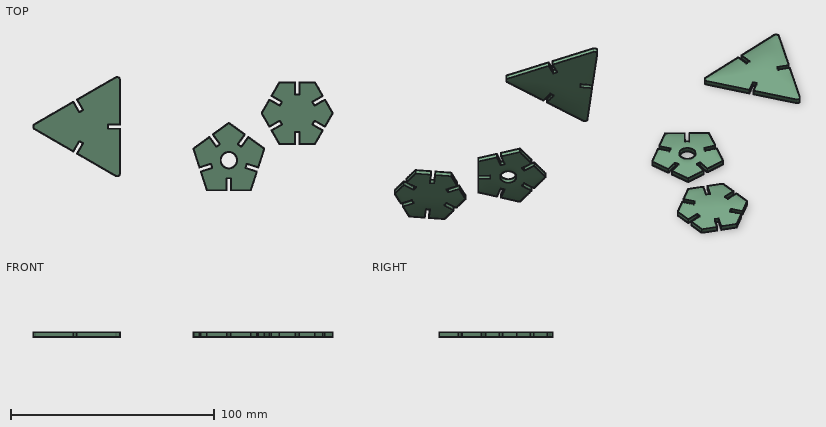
import cadquery as cq
import math


plate_thickness = 2.5
slot_width = 2.0
slot_depth = 5.9

triangle_sides = 3
triangle_inradius = 14.7
triangle_corner_radius = 1.5
triangle_first_side_angle = 0
triangle_center = (0, 0, 0)

pentagon_sides = 5
pentagon_inradius = 14.9
pentagon_hole_diameter = 8.0
pentagon_first_side_angle = -90
pentagon_center = (68.2, -16.5, 0)

hexagon_sides = 6
hexagon_inradius = 15.2
hexagon_first_side_angle = 90
hexagon_center = (101.8, 6.6, 0)


def polygon_plate(sides, inradius, first_side_angle):
    """Plain regular plate about the origin; the first side faces first_side_angle (degrees)."""
    side_step = 360 / sides
    circumradius = inradius / math.cos(math.pi / sides)
    corner_angles = [math.radians(first_side_angle + (i + 0.5) * side_step) for i in range(sides)]
    corners = [(circumradius * math.cos(a), circumradius * math.sin(a)) for a in corner_angles]
    return cq.Workplane("XY").polyline(corners).close().extrude(plate_thickness)


def cut_side_slots(plate, sides, inradius, first_side_angle):
    """Cut an open slot inward from the middle of every side, through the full thickness."""
    slot = cq.Workplane("XY").box(
        slot_depth, slot_width, plate_thickness, centered=(False, True, False)
    ).translate((inradius - slot_depth, 0, 0))
    for i in range(sides):
        side_angle = first_side_angle + i * 360 / sides
        plate = plate.cut(slot.rotate((0, 0, 0), (0, 0, 1), side_angle))
    return plate


def make_triangle():
    shape = (triangle_sides, triangle_inradius, triangle_first_side_angle)
    plate = polygon_plate(*shape).edges("|Z").fillet(triangle_corner_radius)
    return cut_side_slots(plate, *shape).translate(triangle_center)


def make_pentagon():
    shape = (pentagon_sides, pentagon_inradius, pentagon_first_side_angle)
    plate = cut_side_slots(polygon_plate(*shape), *shape)
    hole = cq.Workplane("XY").circle(pentagon_hole_diameter / 2).extrude(plate_thickness)
    return plate.cut(hole).translate(pentagon_center)


def make_hexagon():
    shape = (hexagon_sides, hexagon_inradius, hexagon_first_side_angle)
    return cut_side_slots(polygon_plate(*shape), *shape).translate(hexagon_center)


triangle = make_triangle()
pentagon = make_pentagon()
hexagon = make_hexagon()

result = cq.Compound.makeCompound([triangle.val(), pentagon.val(), hexagon.val()])